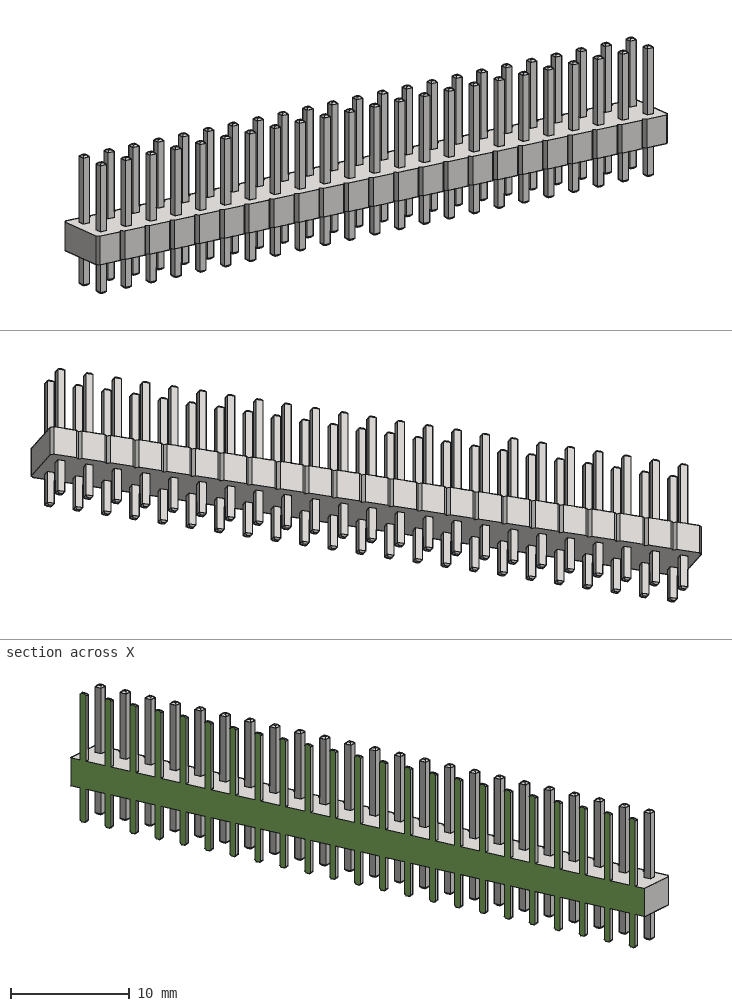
import cadquery as cq

PITCH = 2.54
COLUMNS = 2
ROWS = 23

BODY_HEIGHT = 2.54
BODY_WIDTH = COLUMNS * PITCH
BODY_LENGTH = ROWS * PITCH
CORNER_CHAMFER = PITCH / 10

PIN_SIZE = 0.64
PIN_ABOVE = 6.0
PIN_BELOW = 3.0
TIP_CHAMFER = PIN_SIZE / 4


def row_positions():
    """Y centre of every row, symmetric about the origin."""
    return [(row - (ROWS - 1) / 2) * PITCH for row in range(ROWS)]


def pin_positions():
    """XY centre of every pin."""
    columns = [(column - (COLUMNS - 1) / 2) * PITCH for column in range(COLUMNS)]
    return [(x, y) for y in row_positions() for x in columns]


def make_body():
    """Bar whose outline chamfers in at both ends and at each joint between rows."""
    half_width = BODY_WIDTH / 2
    half_flat = PITCH / 2 - CORNER_CHAMFER
    root_x = half_width - CORNER_CHAMFER

    right_side = [(root_x, -BODY_LENGTH / 2)]
    for y in row_positions():
        right_side.append((half_width, y - half_flat))
        right_side.append((half_width, y + half_flat))
        right_side.append((root_x, y + PITCH / 2))
    left_side = [(-x, y) for x, y in reversed(right_side)]

    return cq.Workplane("XY").polyline(right_side + left_side).close().extrude(BODY_HEIGHT)


def make_pin():
    """Square pin with both tips chamfered on all four sides."""
    return (
        cq.Workplane("XY")
        .workplane(offset=-PIN_BELOW)
        .rect(PIN_SIZE, PIN_SIZE)
        .extrude(PIN_BELOW + BODY_HEIGHT + PIN_ABOVE)
        .faces("<Z or >Z")
        .chamfer(TIP_CHAMFER)
    )


def make_header():
    """Body with a pin fused through it at every grid position."""
    pin = make_pin().val()
    pins = [pin.translate(cq.Vector(x, y, 0)) for x, y in pin_positions()]
    return cq.Workplane(make_body().val().fuse(*pins))


result = make_header()